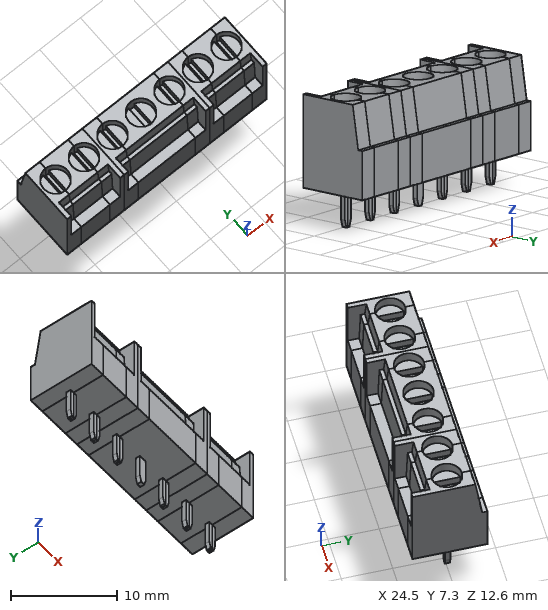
import cadquery as cq

module_poles = [2, 3, 2]
pole_pitch = 3.5

front_y = -3.8
depth = 7.3
back_y = front_y + depth
height = 9.1
shelf_height = 4.8
shelf_depth = 0.5
top_setback = 1.18

recess_margin = 0.5
recess_floor_z = 4.3
recess_step_z = 7.7
lower_wall_foot = 1.1
lower_wall_top = 1.23
upper_wall_foot = 1.65
upper_wall_top = 1.8

well_diameter = 2.9
well_depth = 1.05
slot_width = 0.7
slot_depth = 0.8

pin_width = 0.9
pin_thickness = 0.5
pin_length = 3.5
pin_tip_width = pin_width / 2
pin_tip_length = 0.8


def side_prism(points, start_x, end_x):
    """Extrude a (Y, Z) outline along X between two planes."""
    return cq.Workplane("YZ", origin=(start_x, 0, 0)).polyline(points).close().extrude(end_x - start_x)


def housing(start_x, end_x):
    """Block with a low shelf and a sloping wall at the back."""
    outline = [
        (front_y, 0),
        (back_y, 0),
        (back_y, shelf_height),
        (back_y - shelf_depth, shelf_height),
        (back_y - top_setback, height),
        (front_y, height),
    ]
    return side_prism(outline, start_x, end_x)


def front_recess(start_x, end_x):
    """Recess open to the front and top, with a stepped, slightly leaning back wall."""
    outline = [
        (front_y, recess_floor_z),
        (front_y + lower_wall_foot, recess_floor_z),
        (front_y + lower_wall_top, recess_step_z),
        (front_y + upper_wall_foot, recess_step_z),
        (front_y + upper_wall_top, height),
        (front_y, height),
    ]
    return side_prism(outline, start_x + recess_margin, end_x - recess_margin)


def screw_well(pole_x):
    """Round well with a driver slot across its floor."""
    floor_z = height - well_depth
    slot_floor_z = floor_z - slot_depth
    well = cq.Workplane("XY", origin=(pole_x, 0, floor_z)).circle(well_diameter / 2).extrude(well_depth)
    slot_strip = (
        cq.Workplane("XY", origin=(pole_x, 0, slot_floor_z))
        .rect(slot_width, well_diameter)
        .extrude(slot_depth)
    )
    slot = (
        cq.Workplane("XY", origin=(pole_x, 0, slot_floor_z))
        .circle(well_diameter / 2)
        .extrude(slot_depth)
        .intersect(slot_strip)
    )
    return well.union(slot)


def solder_pin(pole_x):
    """Flat pin below the housing, tapered at its tip."""
    taper_z = pin_tip_length - pin_length
    outline = [
        (-pin_width / 2, 0),
        (-pin_width / 2, taper_z),
        (-pin_tip_width / 2, -pin_length),
        (pin_tip_width / 2, -pin_length),
        (pin_width / 2, taper_z),
        (pin_width / 2, 0),
    ]
    return (
        cq.Workplane("XZ", origin=(pole_x, pin_thickness / 2, 0))
        .polyline(outline)
        .close()
        .extrude(pin_thickness)
    )


def whole_module(first_pole_x, poles):
    """Complete module, before it is parted into its sections."""
    start_x = first_pole_x - pole_pitch / 2
    end_x = start_x + poles * pole_pitch
    module = housing(start_x, end_x).cut(front_recess(start_x, end_x))
    for pole in range(poles):
        pole_x = first_pole_x + pole * pole_pitch
        module = module.cut(screw_well(pole_x)).union(solder_pin(pole_x))
    return module


def section(module, start_x, end_x):
    """Part of a module between two planes across X."""
    slab_height = height + pin_length
    slab = (
        cq.Workplane("XY")
        .box(end_x - start_x, depth, slab_height, centered=False)
        .translate((start_x, front_y, -pin_length))
    )
    return module.intersect(slab)


bodies = []
first_pole_x = 0
for poles in module_poles:
    last_pole_x = first_pole_x + (poles - 1) * pole_pitch
    module = whole_module(first_pole_x, poles)
    left_end = section(module, first_pole_x - pole_pitch / 2, first_pole_x)
    middle = section(module, first_pole_x, last_pole_x)
    right_end = section(module, last_pole_x, last_pole_x + pole_pitch / 2)
    bodies += [left_end.val(), middle.val(), right_end.val()]
    first_pole_x += poles * pole_pitch

result = cq.Compound.makeCompound(bodies)